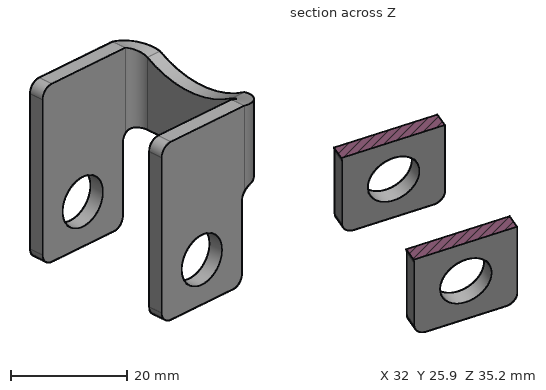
import cadquery as cq

width = 32.0
depth = 25.9
height = 35.15
thickness = 3.1
bend_inner_radius = 2.67
bend_angle = 90
leg_width = 19.6
web_bottom = 18.95
corner_radius = 2.25
hole_diameter = 9.8
hole_height = 8.85
saddle_bottom = 30.5
saddle_end = 33.28

bend_outer_radius = bend_inner_radius + thickness
bend_y = depth - bend_outer_radius
bend_x = width / 2 - bend_outer_radius


def right_leg():
    """Flat leg on the +X side, ending where the bend starts."""
    return cq.Workplane("XY").box(thickness, bend_y, height, centered=False).translate(
        (width / 2 - thickness, 0, 0)
    )


def quarter_ring():
    """Bend cross-section, a quarter ring in the +X +Y quadrant about the bend axis."""
    diagonal = 0.5**0.5
    inner_middle = bend_inner_radius * diagonal
    outer_middle = bend_outer_radius * diagonal
    return (
        cq.Workplane("XY")
        .moveTo(bend_inner_radius, 0)
        .lineTo(bend_outer_radius, 0)
        .threePointArc((outer_middle, outer_middle), (0, bend_outer_radius))
        .lineTo(0, bend_inner_radius)
        .threePointArc((inner_middle, inner_middle), (bend_inner_radius, 0))
        .close()
    )


def right_bend():
    """Quarter bend whose top edge climbs as a helix from the web to the leg."""
    rise = height - saddle_end
    bend = quarter_ring().extrude(height)
    overrun = 15
    twist = bend_angle + 2 * overrun
    cutter_height = rise * twist / bend_angle
    reach = 2 * bend_outer_radius
    cutter = (
        cq.Workplane("XY")
        .polyline([(-reach, 0), (reach, 0), (reach, reach), (-reach, reach)])
        .close()
        .twistExtrude(cutter_height, -twist)
        .rotate((0, 0, 0), (0, 0, 1), bend_angle + overrun)
        .translate((0, 0, saddle_end - rise * overrun / bend_angle))
    )
    return bend.cut(cutter).translate((bend_x, bend_y, 0))


def web():
    """Rear wall with a concave top edge."""
    return (
        cq.Workplane("XZ", origin=(0, depth, 0))
        .moveTo(-bend_x, 0)
        .lineTo(bend_x, 0)
        .lineTo(bend_x, saddle_end)
        .threePointArc((0, saddle_bottom), (-bend_x, saddle_end))
        .close()
        .extrude(thickness)
    )


def side_outline():
    """Stepped side profile with rounded corners, spanning the full width."""
    profile = (
        cq.Workplane("YZ", origin=(-width / 2, 0, 0))
        .polyline(
            [
                (0, 0),
                (leg_width, 0),
                (leg_width, web_bottom),
                (depth, web_bottom),
                (depth, height),
                (0, height),
            ]
        )
        .close()
        .extrude(width)
    )
    front_corners = profile.edges("|X and <Y")
    rear_corner = profile.edges(cq.selectors.NearestToPointSelector((0, leg_width, 0)))
    step_corner = profile.edges(cq.selectors.NearestToPointSelector((0, leg_width, web_bottom)))
    return front_corners.add(rear_corner).add(step_corner).fillet(corner_radius)


def leg_holes():
    """Coaxial holes through both legs, centred on the leg width."""
    return (
        cq.Workplane("YZ", origin=(-width / 2, leg_width / 2, hole_height))
        .circle(hole_diameter / 2)
        .extrude(width)
    )


right_side = right_leg().union(right_bend())
left_side = right_side.mirror("YZ")
channel = web().union(right_side).union(left_side)
result = channel.intersect(side_outline()).cut(leg_holes())